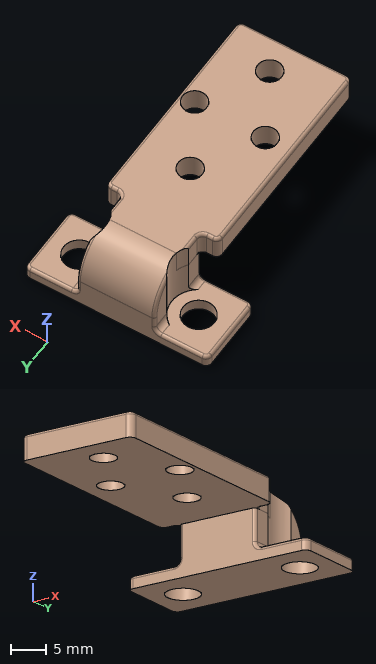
import cadquery as cq

length = 47.0
height = 12.0
foot_width = 30.85
foot_depth = 12.0
foot_thickness = 2.0
neck_width = 13.0
neck_back_radius = 7.0
plate_width = 19.0
plate_thickness = 4.0
tongue_length = foot_depth - neck_back_radius

corner_radius = 1.0
rim_radius = 0.5

foot_hole_diameter = 5.2
foot_hole_spacing = 20.0
foot_hole_y = -foot_depth / 2
seat_diameter = 9.02

plate_hole_diameter = 4.0
plate_hole_x = 0.95
plate_hole_y = -31.25
plate_hole_reach_x = 5.9
plate_hole_reach_y = 10.4

half_neck = neck_width / 2
tolerance = 0.005


def make_foot_and_neck():
    """Flat foot with a neck rising from it, rounded over at the back."""
    foot = (
        cq.Workplane("XY")
        .box(foot_width, foot_depth, foot_thickness, centered=(True, True, False))
        .translate((0, -foot_depth / 2, 0))
        .edges("|Z").fillet(corner_radius)
    )
    neck = (
        cq.Workplane("XY")
        .box(neck_width, foot_depth, height, centered=(True, True, False))
        .translate((0, -foot_depth / 2, 0))
        .edges(">Y and >Z").fillet(neck_back_radius)
    )
    body = foot.union(neck)
    inner_corners = cq.selectors.BoxSelector(
        (-half_neck - tolerance, -foot_depth, foot_thickness - tolerance),
        (half_neck + tolerance, 0, foot_thickness + tolerance),
    )
    body = body.edges("|Y").edges(inner_corners).fillet(corner_radius)

    for side in (-1, 1):
        rim = cq.selectors.BoxSelector(
            (side * (half_neck - tolerance), -foot_depth - rim_radius, foot_thickness - tolerance),
            (side * (foot_width / 2 + rim_radius), rim_radius, height + rim_radius),
            boundingbox=True,
        )
        inner_seams = cq.selectors.BoxSelector(
            (-foot_width / 2 + corner_radius + tolerance, -foot_depth + tolerance, 0),
            (foot_width / 2 - corner_radius - tolerance, -tolerance, height - neck_back_radius),
        )
        body = body.edges(rim - inner_seams).fillet(rim_radius)
    return body


def make_plate():
    """Plate with a narrow tongue that blends into the neck."""
    plate_length = length - foot_depth
    plate = (
        cq.Workplane("XY", origin=(0, 0, height - plate_thickness))
        .center(0, -foot_depth - plate_length / 2)
        .rect(plate_width, plate_length)
        .extrude(plate_thickness)
    )
    plate = plate.edges("|Z").fillet(corner_radius)
    tongue = (
        cq.Workplane("XY", origin=(0, -foot_depth, height - plate_thickness))
        .rect(neck_width, 2 * tongue_length)
        .extrude(plate_thickness)
    )
    plate = plate.union(tongue)
    inner_corners = cq.selectors.BoxSelector(
        (-half_neck - tolerance, -foot_depth - tolerance, 0),
        (half_neck + tolerance, -foot_depth + tolerance, height),
    )
    plate = plate.edges("|Z").edges(inner_corners).fillet(corner_radius)
    return plate.faces(">Z").edges("not >Y").fillet(rim_radius)


def drill(body, points, diameter, bottom):
    """Cut vertical round holes from the given height up through the top."""
    cutter = (
        cq.Workplane("XY", origin=(0, 0, bottom))
        .pushPoints(points)
        .circle(diameter / 2)
        .extrude(height - bottom)
    )
    return body.cut(cutter)


foot_holes = [(side * foot_hole_spacing / 2, foot_hole_y) for side in (-1, 1)]
plate_holes = [
    (plate_hole_x + across * plate_hole_reach_x, plate_hole_y + along * plate_hole_reach_y)
    for across, along in ((0, 1), (1, 0), (0, -1), (-1, 0))
]

mount = drill(make_foot_and_neck(), foot_holes, seat_diameter, foot_thickness)
mount = drill(mount, foot_holes, foot_hole_diameter, 0)

plate = drill(make_plate(), foot_holes, seat_diameter, 0)
plate = drill(plate, plate_holes, plate_hole_diameter, 0)

tongue_space = (
    cq.Workplane("XY", origin=(0, -foot_depth + tongue_length / 2, height - plate_thickness))
    .box(neck_width, tongue_length, plate_thickness, centered=(True, True, False))
)
result = mount.cut(tongue_space).union(plate, clean=False)